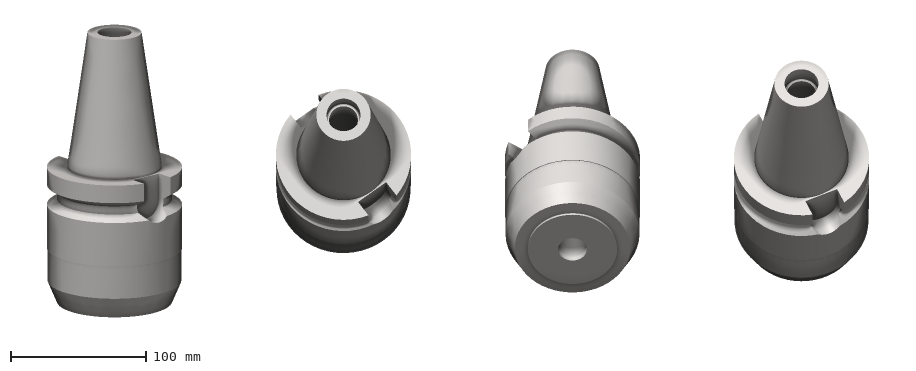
import cadquery as cq

total_height = 208.8
nose_rim_top = 1.9
nose_cone_top = 18.2
sleeve_top = 43.2
groove_cone_bottom = 76.6
groove_floor_bottom = 81.0
groove_floor_top = 87.3
flange_bottom = 91.9
flange_top = 105.5

body_radius = 50.0
sleeve_radius = 49.5
nose_radius = 42.5
nose_rim_radius = 33.0
groove_radius = 42.5

gauge_height = 107.1
gauge_radius = 34.9
taper_ratio = 7 / 24
shank_top_radius = gauge_radius - (total_height - gauge_height) * taper_ratio / 2

bore_radius = 10.6
bore_mouth_radius = 12.5
bore_mouth_depth = 13.5

slot_width = 25.7
slot_bottom = 73.3
slot_back_distance = 35.5


def turned_body():
    """Shank, grooved flange and nose, revolved about Z."""
    profile = [
        (0, 0),
        (nose_rim_radius, 0),
        (nose_rim_radius, nose_rim_top),
        (nose_radius, nose_rim_top),
        (sleeve_radius, nose_cone_top),
        (sleeve_radius, sleeve_top),
        (body_radius, sleeve_top),
        (body_radius, groove_cone_bottom),
        (groove_radius, groove_floor_bottom),
        (groove_radius, groove_floor_top),
        (body_radius, flange_bottom),
        (body_radius, flange_top),
        (gauge_radius, flange_top),
        (gauge_radius, gauge_height),
        (shank_top_radius, total_height),
        (0, total_height),
    ]
    return cq.Workplane("XZ").polyline(profile).close().revolve(360, (0, 0), (0, 1))


def bore():
    """Cutter for the through bore and its wider mouth."""
    through = cq.Workplane("XY").circle(bore_radius).extrude(total_height)
    mouth_floor = total_height - bore_mouth_depth
    mouth = cq.Workplane("XY", origin=(0, 0, mouth_floor)).circle(bore_mouth_radius).extrude(bore_mouth_depth)
    return through.union(mouth)


def drive_slot(side):
    """Cutter for the drive slot on the +X side (side=1) or the -X side (side=-1)."""
    half_width = slot_width / 2
    arc_center_height = slot_bottom + half_width
    slot_depth = body_radius - slot_back_distance
    return (
        cq.Workplane("YZ", origin=(side * slot_back_distance, 0, 0))
        .moveTo(-half_width, flange_top)
        .lineTo(-half_width, arc_center_height)
        .threePointArc((0, slot_bottom), (half_width, arc_center_height))
        .lineTo(half_width, flange_top)
        .close()
        .extrude(side * slot_depth)
    )


result = turned_body().cut(bore())
for slot_side in (-1, 1):
    result = result.cut(drive_slot(slot_side))